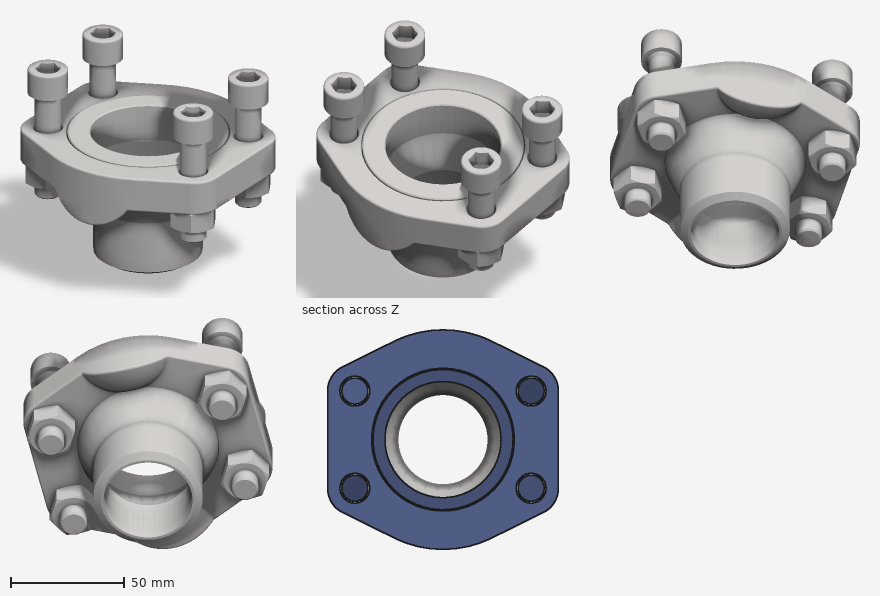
import cadquery as cq
import math


bolt_x = 38.9
bolt_y = 21.4
bolt_places = [(sx * bolt_x, sy * bolt_y) for sx in (-1, 1) for sy in (-1, 1)]

flange_length = 102.0
flange_width = 97.0
plate_thickness = 16.1
flange_edge_radius = 1.0
bolt_hole_diameter = 13.0
mouth_chamfer = 0.4
corner_radius = 12.0
end_radius = flange_width / 2

lobe_radius = 25.0
lobe_offset = 50.0
lobe_depth = 26.3

counterbore_diameter = 72.2
counterbore_depth = 9.6
hub_hole_diameter = 62.7

hub_proud = 0.4
hub_head_diameter = 71.4
hub_head_chamfer = 0.5
hub_shank_diameter = 62.0
hub_shank_bottom = -16.6
hub_blend_radius = 1.0
neck_diameter = 48.3
neck_top = -33.4
hub_bottom = -59.6
neck_chamfer_height = 2.1
neck_end_diameter = 41.6
bore_diameter = 51.0
bore_chamfer = 0.5
pipe_diameter = 39.3

head_top = 29.1
head_diameter = 18.0
head_height = 12.0
head_edge_radius = 1.1
shank_diameter = 11.7
shank_length = 50.0
shank_chamfer = 0.7
collar_diameter = 13.5
collar_height = 1.5
socket_flats = 10.0
socket_depth = 7.3
socket_angle = 6.0
socket_mouth_diameter = 11.7
socket_floor_diameter = 10.3
socket_tip_height = 3.0
head_bottom = head_top - head_height
bolt_bottom = head_bottom - shank_length

nut_flats = 19.0
nut_height = 10.0
nut_face_diameter = 18.9

chamfer_slope = math.tan(math.radians(30))


def hexagon_diameter(flats):
    """Diameter across the corners of a hexagon."""
    return flats / math.cos(math.radians(30))


def revolved(outline):
    """Closed XZ outline turned about the Z axis."""
    return outline.close().revolve(360, (0, 0), (0, 1))


def disc(diameter, depth):
    """Cylinder on the Z axis going down from Z = 0."""
    return cq.Workplane("XY").circle(diameter / 2).extrude(-depth)


def flange_prism(height):
    """Flange outline extruded down: two end arcs, four corner arcs, and their common tangents."""
    corner_x = flange_length / 2 - corner_radius
    spacing = math.hypot(corner_x, bolt_y)
    tangent_angle = math.atan2(bolt_y, corner_x) + math.acos((end_radius - corner_radius) / spacing)
    half_angle = tangent_angle / 2
    end = (end_radius * math.cos(tangent_angle), end_radius * math.sin(tangent_angle))
    corner_end = (
        corner_x + corner_radius * math.cos(tangent_angle),
        bolt_y + corner_radius * math.sin(tangent_angle),
    )
    corner_middle = (
        corner_x + corner_radius * math.cos(half_angle),
        bolt_y + corner_radius * math.sin(half_angle),
    )
    corner_start = (flange_length / 2, bolt_y)

    def mirrored(point, sx, sy):
        return (sx * point[0], sy * point[1])

    outline = cq.Workplane("XY").moveTo(*mirrored(corner_start, 1, -1)).lineTo(*corner_start)
    outline = outline.threePointArc(corner_middle, corner_end).lineTo(*end)
    outline = outline.threePointArc((0, end_radius), mirrored(end, -1, 1))
    outline = outline.lineTo(*mirrored(corner_end, -1, 1))
    outline = outline.threePointArc(mirrored(corner_middle, -1, 1), mirrored(corner_start, -1, 1))
    outline = outline.lineTo(*mirrored(corner_start, -1, -1))
    outline = outline.threePointArc(mirrored(corner_middle, -1, -1), mirrored(corner_end, -1, -1))
    outline = outline.lineTo(*mirrored(end, -1, -1))
    outline = outline.threePointArc((0, -end_radius), mirrored(end, 1, -1))
    outline = outline.lineTo(*mirrored(corner_end, 1, -1))
    outline = outline.threePointArc(mirrored(corner_middle, 1, -1), mirrored(corner_start, 1, -1))
    return outline.close().extrude(-height)


def make_flange():
    """Plate with two domed lobes, a stepped opening for the hub and four bolt holes."""
    through = 2 * lobe_depth

    envelope = cq.Workplane("XY").box(2 * flange_length, 2 * flange_length, plate_thickness)
    envelope = envelope.translate((0, 0, -plate_thickness / 2))
    below_top = disc(4 * flange_length, through)
    for side in (-1, 1):
        dome = cq.Workplane("XY").sphere(lobe_radius)
        dome = dome.translate((0, side * lobe_offset, lobe_radius - lobe_depth))
        envelope = envelope.union(dome.intersect(below_top))
    flange = flange_prism(through).intersect(envelope)
    flange = flange.edges("not |Z").fillet(flange_edge_radius)

    flange = flange.cut(disc(counterbore_diameter, counterbore_depth))
    flange = flange.cut(disc(hub_hole_diameter, through))
    holes = cq.Workplane("XY").pushPoints(bolt_places).circle(bolt_hole_diameter / 2)
    flange = flange.cut(holes.extrude(-through))

    mouths = cq.selectors.BoxSelector((-45.9, -30.6, -1), (45.9, 30.6, 1))
    return flange.faces(">Z").edges("%CIRCLE").edges(mouths).chamfer(mouth_chamfer)


def make_hub():
    """Headed hub with a conical neck and a bore that narrows to the pipe diameter."""
    profile = [
        (bore_diameter / 2 + bore_chamfer, hub_proud),
        (hub_head_diameter / 2 - hub_head_chamfer, hub_proud),
        (hub_head_diameter / 2, hub_proud - hub_head_chamfer),
        (hub_head_diameter / 2, -counterbore_depth),
        (hub_shank_diameter / 2, -counterbore_depth),
        (hub_shank_diameter / 2, hub_shank_bottom),
        (neck_diameter / 2, neck_top),
        (neck_diameter / 2, hub_bottom + neck_chamfer_height),
        (neck_end_diameter / 2, hub_bottom),
        (pipe_diameter / 2, hub_bottom),
        (pipe_diameter / 2, neck_top),
        (bore_diameter / 2, hub_shank_bottom),
        (bore_diameter / 2, hub_proud - bore_chamfer),
    ]
    hub = revolved(cq.Workplane("XZ").polyline(profile))

    tolerance = 0.01
    cone_ends = [(hub_shank_diameter / 2, hub_shank_bottom), (neck_diameter / 2, neck_top)]
    for radius, height in cone_ends:
        rim = [
            edge
            for edge in hub.edges("%CIRCLE").vals()
            if abs(edge.radius() - radius) < tolerance and abs(edge.Center().z - height) < tolerance
        ]
        hub = hub.newObject(rim).fillet(hub_blend_radius)
    return hub


def make_bolt(x, y):
    """Socket-head bolt with a tapered collar under its head."""
    head_radius = head_diameter / 2
    shank_radius = shank_diameter / 2
    outline = (
        cq.Workplane("XZ")
        .moveTo(0, head_top)
        .lineTo(head_radius - head_edge_radius, head_top)
        .radiusArc((head_radius, head_top - head_edge_radius), head_edge_radius)
        .lineTo(head_radius, head_bottom)
        .lineTo(collar_diameter / 2, head_bottom)
        .lineTo(shank_radius, head_bottom - collar_height)
        .lineTo(shank_radius, bolt_bottom + shank_chamfer)
        .lineTo(shank_radius - shank_chamfer, bolt_bottom)
        .lineTo(0, bolt_bottom)
    )
    bolt = revolved(outline)

    hexagon = cq.Workplane("XY", origin=(0, 0, head_top)).polygon(6, hexagon_diameter(socket_flats))
    hexagon = hexagon.extrude(-socket_depth).rotate((0, 0, 0), (0, 0, 1), 30 + socket_angle)
    mouth_radius = socket_mouth_diameter / 2
    mouth_height = mouth_radius * chamfer_slope
    mouth = cq.Solid.makeCone(0, mouth_radius, mouth_height)
    mouth = mouth.translate(cq.Vector(0, 0, head_top - mouth_height))
    tip = cq.Solid.makeCone(0, socket_floor_diameter / 2, socket_tip_height)
    tip = tip.translate(cq.Vector(0, 0, head_top - socket_depth - socket_tip_height))
    bolt = bolt.cut(hexagon).cut(cq.Workplane(mouth)).cut(cq.Workplane(tip))
    return bolt.translate((x, y, 0))


def make_nut(x, y):
    """Hexagon nut under the plate, chamfered at both ends."""
    nut_corner_radius = hexagon_diameter(nut_flats) / 2
    face_radius = nut_face_diameter / 2
    chamfer_height = (nut_corner_radius - face_radius) * chamfer_slope
    chamfered = [
        (0, 0),
        (face_radius, 0),
        (nut_corner_radius, -chamfer_height),
        (nut_corner_radius, chamfer_height - nut_height),
        (face_radius, -nut_height),
        (0, -nut_height),
    ]
    envelope = revolved(cq.Workplane("XZ").polyline(chamfered))
    nut = cq.Workplane("XY").polygon(6, 2 * nut_corner_radius).extrude(-nut_height)
    nut = nut.intersect(envelope).cut(disc(shank_diameter, nut_height))
    return nut.translate((x, y, -plate_thickness))


flange = make_flange()
hub = make_hub()
bolts = [make_bolt(x, y).val() for x, y in bolt_places]
nuts = [make_nut(x, y).val() for x, y in bolt_places]

result = cq.Compound.makeCompound([flange.val(), hub.val(), *bolts, *nuts])